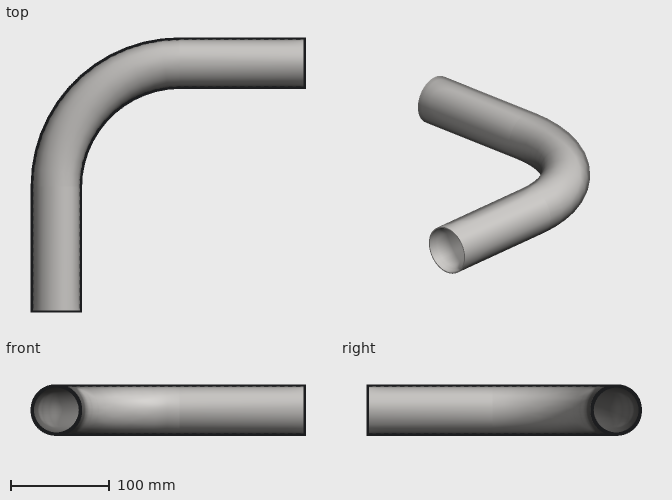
import cadquery as cq
import math

overall_length = 276.5
outer_diameter = 50.0
inner_diameter = 47.5
bend_radius = 125.0

leg_length = overall_length - bend_radius - outer_diameter / 2

bend_middle = bend_radius * (1 - math.cos(math.pi / 4))
centreline = (
    cq.Workplane("XY")
    .moveTo(0, 0)
    .lineTo(0, leg_length)
    .threePointArc(
        (bend_middle, leg_length + bend_radius - bend_middle),
        (bend_radius, leg_length + bend_radius),
    )
    .lineTo(bend_radius + leg_length, leg_length + bend_radius)
)

wall_section = cq.Workplane("ZX").circle(outer_diameter / 2).circle(inner_diameter / 2)
result = wall_section.sweep(centreline)